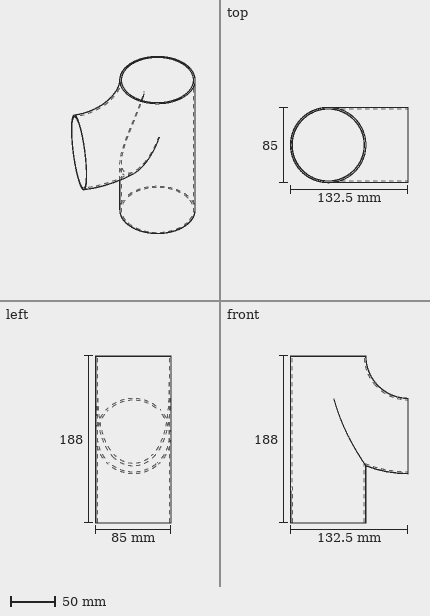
import cadquery as cq

pipe_length = 188.0
outer_diameter = 85.0
bore_diameter = 81.0
overall_width = 132.5

bend_radius = overall_width - outer_diameter / 2


def straight_run(diameter):
    """Solid vertical cylinder along the full pipe length."""
    return cq.Workplane("XY").circle(diameter / 2).extrude(pipe_length)


def branch_bend(diameter):
    """Solid quarter torus from the top rim down to a branch mouth facing +X."""
    bend_center = cq.Vector(bend_radius, 0, pipe_length)
    ring = cq.Solid.makeTorus(bend_radius, diameter / 2, bend_center, cq.Vector(0, 1, 0))
    reach = bend_radius + diameter
    quarter = (
        cq.Workplane("XY")
        .box(reach, 2 * diameter, reach, centered=(False, True, False))
        .translate((bend_radius - reach, 0, pipe_length - reach))
    )
    return quarter.intersect(cq.Workplane(ring))


def tee_body(diameter):
    """Straight run and swept branch joined at one common diameter."""
    return straight_run(diameter).union(branch_bend(diameter))


result = tee_body(outer_diameter).cut(tee_body(bore_diameter))